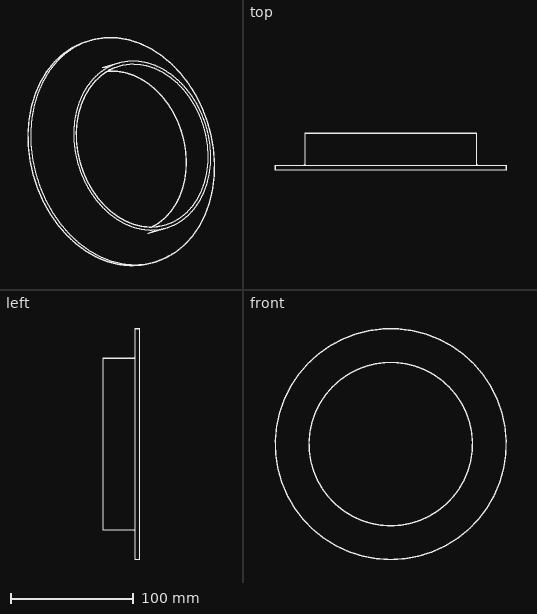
import cadquery as cq

flange_diameter = 188.0
flange_thickness = 4.0
total_depth = 30.0
tube_outer_diameter = 139.9
root_fillet = 1.0

throat_diameter = 132.7
bore_back_diameter = 134.6
mouth_width = 3.4
mouth_depth = 2.0
mouth_curve_radius = 4.3

flange_radius = flange_diameter / 2
tube_radius = tube_outer_diameter / 2
throat_radius = throat_diameter / 2
bore_back_radius = bore_back_diameter / 2
mouth_radius = throat_radius + mouth_width
front_y = -total_depth / 2
flange_back_y = front_y + flange_thickness
back_y = total_depth / 2

section = (
    cq.Workplane("XY")
    .moveTo(mouth_radius, front_y)
    .lineTo(flange_radius, front_y)
    .lineTo(flange_radius, flange_back_y)
    .lineTo(tube_radius + root_fillet, flange_back_y)
    .radiusArc((tube_radius, flange_back_y + root_fillet), root_fillet)
    .lineTo(tube_radius, back_y)
    .lineTo(bore_back_radius, back_y)
    .lineTo(throat_radius, front_y + mouth_depth)
    .radiusArc((mouth_radius, front_y), -mouth_curve_radius)
    .close()
)

ring = section.revolve(360, (0, 0, 0), (0, 1, 0))
result = ring.rotate((0, 0, 0), (0, 1, 0), 90)